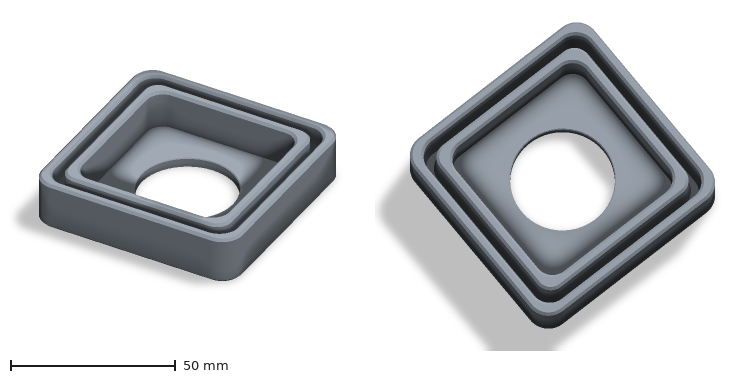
import cadquery as cq
import math

side = 69.85
height = 15.85
corner_radius = 7.0
edge_chamfer = 0.85

groove_depth = 12.7
groove_straight_depth = 6.6
groove_narrowing = 0.8
groove_outer_inset = 3.2
groove_outer_radius = 6.1
groove_inner_inset = 6.3
groove_inner_radius = 5.0

pocket_inset = 9.6
pocket_radius = 5.6
pocket_depth = groove_depth
hole_diameter = 31.8
hole_chamfer = 0.3


def rounded_square(inset, radius, z):
    """Sketch a rounded square, set in from the body sides, at height z."""
    width = side - 2 * inset
    sketch = cq.Sketch().rect(width, width).vertices().fillet(radius)
    return cq.Workplane("XY").workplane(offset=z).placeSketch(sketch)


def tapered_block(inset, radius, spread, bottom, top):
    """Rounded block whose size at the top is given and whose sides move outward by spread at the bottom."""
    slope = math.degrees(math.atan2(spread, top - bottom))
    return rounded_square(inset - spread, radius + spread, bottom).extrude(top - bottom, taper=slope)


def rim_flare(inset, radius):
    """Cutter that widens a wall of the given outline into a chamfer at the top face."""
    return tapered_block(inset, radius, -edge_chamfer, height - edge_chamfer, height)


body = rounded_square(0, corner_radius, 0).extrude(height)
body = body.faces("<Z or >Z").chamfer(edge_chamfer)

groove_bottom = height - groove_depth
narrowing_start = height - groove_straight_depth
chamfer_start = height - edge_chamfer

cavity_base = tapered_block(
    groove_outer_inset, groove_outer_radius, -groove_narrowing, groove_bottom, narrowing_start
)
cavity_top = rounded_square(groove_outer_inset, groove_outer_radius, narrowing_start).extrude(groove_straight_depth)
cavity_mouth = rim_flare(groove_outer_inset - edge_chamfer, groove_outer_radius + edge_chamfer)
cavity = cavity_base.union(cavity_top).union(cavity_mouth)

wall_base = tapered_block(
    groove_inner_inset, groove_inner_radius, groove_narrowing, groove_bottom, narrowing_start
)
wall_middle = rounded_square(groove_inner_inset, groove_inner_radius, narrowing_start).extrude(
    chamfer_start - narrowing_start
)
wall_tip = tapered_block(
    groove_inner_inset + edge_chamfer, groove_inner_radius - edge_chamfer, edge_chamfer, chamfer_start, height
)
groove = cavity.cut(wall_base).cut(wall_middle).cut(wall_tip)

floor_height = height - pocket_depth
pocket = rounded_square(pocket_inset, pocket_radius, floor_height).extrude(pocket_depth)
pocket = pocket.union(rim_flare(pocket_inset - edge_chamfer, pocket_radius + edge_chamfer))

hole = cq.Workplane("XY").circle(hole_diameter / 2).extrude(floor_height)
hole_mouth = (
    cq.Workplane("XY")
    .workplane(offset=floor_height)
    .circle(hole_diameter / 2 + hole_chamfer)
    .extrude(-hole_chamfer, taper=45)
)

result = body.cut(groove).cut(pocket).cut(hole).cut(hole_mouth)